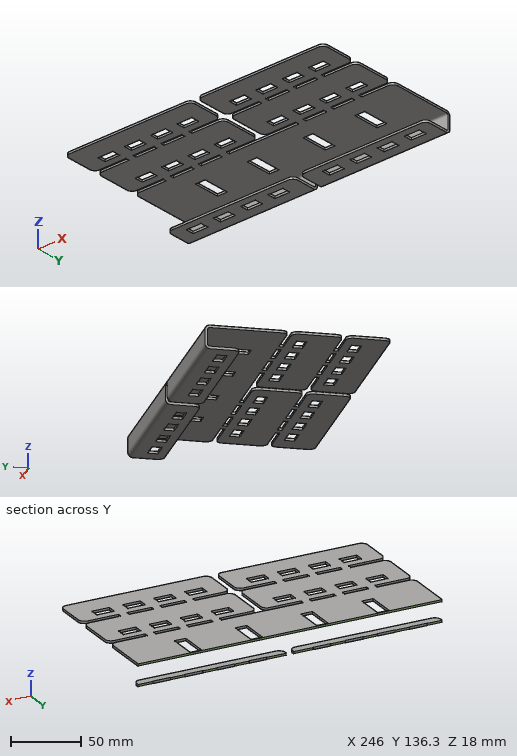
import cadquery as cq

length = 246.0
depth = 136.3
height = 18.0

sheet = 2.0
bend_outer = 4.0
bend_inner = bend_outer - sheet
corner_radius = 5.0

main_depth = 61.0
row_gap = 3.2
middle_depth = 37.0
front_depth = depth - main_depth - middle_depth - 2 * row_gap
pair_gap = 6.0
panel_length = (length - pair_gap) / 2
panel_centres = [side * (pair_gap + panel_length) / 2 for side in (-1, 1)]

lip_depth = 25.8

tab_width = 7.0
tab_pitch = 26.5
tab_steps = (-1, 0, 1)

window_length = 14.0
window_width = 7.5
window_steps = (-4, -3, -2, -1, 1, 2, 3, 4)
window_intervals = window_steps[-1] - window_steps[0]
window_setback = 10.3
window_span = 200.0
lip_window_span = 207.5

slot_width = 9.0
slot_length = 23.5
slot_setback = 31.7
slot_offsets = (-75.8, -26.5, 26.5, 75.8)

back_y = depth / 2
lip_front_y = back_y - lip_depth
main_front_y = back_y - main_depth
middle_back_y = main_front_y - row_gap
middle_front_y = middle_back_y - middle_depth
front_back_y = middle_front_y - row_gap
front_front_y = front_back_y - front_depth

top_z = height / 2
bottom_z = -top_z
underside_z = top_z - sheet
lip_top_z = bottom_z + sheet


def block(x_centre, x_size, y_range, z_range):
    """Box centred on x_centre that fills the given Y and Z ranges."""
    y_low, y_high = y_range
    z_low, z_high = z_range
    centre = (x_centre, (y_low + y_high) / 2, (z_low + z_high) / 2)
    return cq.Workplane("XY").box(x_size, y_high - y_low, z_high - z_low).translate(centre)


def make_folded_sheet():
    """Main panel, back web and lip folded from one sheet."""
    outside = block(0, length, (main_front_y, back_y), (bottom_z, top_z))
    outside = outside.edges("|X and >Y").fillet(bend_outer)
    inside = block(0, length, (main_front_y, back_y - sheet), (lip_top_z, underside_z))
    inside = inside.edges("|X and >Y").fillet(bend_inner)
    below_main = block(0, length, (main_front_y, lip_front_y), (bottom_z, underside_z))
    split = block(0, pair_gap, (main_front_y, back_y), (bottom_z, top_z - bend_outer))
    folded = outside.cut(inside).cut(below_main)
    folded = folded.edges("|Z and <Y").fillet(corner_radius)
    folded = folded.cut(split)
    lip_corners = cq.selectors.BoxSelector(
        (-length, lip_front_y - sheet, bottom_z - sheet),
        (length, lip_front_y + sheet, lip_top_z),
    )
    return folded.edges(lip_corners).edges("|Z").fillet(corner_radius)


def make_panel(x_centre, y_range):
    """Flat panel with four rounded corners."""
    panel = block(x_centre, panel_length, y_range, (underside_z, top_z))
    return panel.edges("|Z").fillet(corner_radius)


def cutters(x_centres, y_centre, x_size, y_size, z_range):
    """Row of rectangular cutters through the sheet within the given Z range."""
    z_low, z_high = z_range
    return (
        cq.Workplane("XY", origin=(0, 0, z_low))
        .pushPoints([(x, y_centre) for x in x_centres])
        .rect(x_size, y_size)
        .extrude(z_high - z_low)
    )


def window_row(span, y_centre, z_range):
    """Cutters for one row of windows with the given span between outermost centres."""
    pitch = span / window_intervals
    x_centres = [step * pitch for step in window_steps]
    return cutters(x_centres, y_centre, window_length, window_width, z_range)


upper_sheet = (underside_z, top_z)
lip_sheet = (bottom_z, lip_top_z)

result = make_folded_sheet()

for x_centre in panel_centres:
    result = result.union(make_panel(x_centre, (middle_front_y, middle_back_y)))
    result = result.union(make_panel(x_centre, (front_front_y, front_back_y)))
    for step in tab_steps:
        x_tab = x_centre + step * tab_pitch
        for gap in ((middle_back_y, main_front_y), (front_back_y, middle_front_y)):
            result = result.union(block(x_tab, tab_width, gap, upper_sheet))

for panel_back_y in (middle_back_y, front_back_y):
    result = result.cut(window_row(window_span, panel_back_y - window_setback, upper_sheet))
result = result.cut(window_row(lip_window_span, lip_front_y + window_setback, lip_sheet))

slot_y = back_y - slot_setback
result = result.cut(cutters(slot_offsets, slot_y, slot_width, slot_length, upper_sheet))